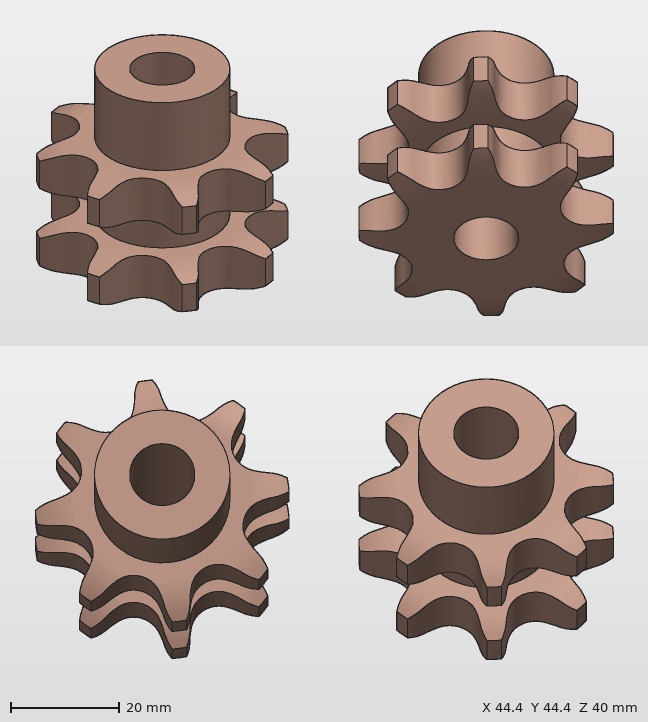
import cadquery as cq
import math

TOOTH_COUNT = 8
PITCH_DIAMETER = 41.5
ROLLER_DIAMETER = 10.15
SEAT_RADIUS = 5.15
TIP_DIAMETER = 47.0

DISC_THICKNESS = 9.0
DISC_SPACING = 16.5
DISC_BASES = (0, DISC_SPACING)

CROWN_RADIUS = 15.98
CROWN_DROP = 1.6

HUB_DIAMETER = 25.0
HUB_HEIGHT = 40.0
BORE_DIAMETER = 12.0

SEAT_ANGLE = 35 + 60 / TOOTH_COUNT
FLANK_SWEEP = 18 - 56 / TOOTH_COUNT
TIP_ANGLE = 17 - 64 / TOOTH_COUNT
FLANK_CENTER_RATIO = 0.8
TIP_CENTER_RATIO = 1.4

PITCH_RADIUS = PITCH_DIAMETER / 2
TIP_RADIUS = TIP_DIAMETER / 2
CUT_RADIUS = TIP_RADIUS + 0.45


def sin_deg(angle):
    return math.sin(math.radians(angle))


def cos_deg(angle):
    return math.cos(math.radians(angle))


def offset(point, distance, angle):
    """Move a point by a distance in the direction of an angle."""
    return (point[0] + distance * cos_deg(angle), point[1] + distance * sin_deg(angle))


def mirrored(point):
    return (-point[0], point[1])


def tooth_gap():
    """Cutter for the gap centered on +Y: seat, concave flanks, short straights, convex tips."""
    seat_center = (0, PITCH_RADIUS)
    flank_offset = FLANK_CENTER_RATIO * ROLLER_DIAMETER
    tip_offset = TIP_CENTER_RATIO * ROLLER_DIAMETER
    flank_radius = SEAT_RADIUS + flank_offset
    straight_length = tip_offset * sin_deg(TIP_ANGLE) - flank_offset * sin_deg(FLANK_SWEEP)
    tip_arc_radius = (
        flank_offset * cos_deg(FLANK_SWEEP) + tip_offset * cos_deg(TIP_ANGLE) - flank_radius
    )

    seat_bottom = offset(seat_center, SEAT_RADIUS, -90)
    seat_end = offset(seat_center, SEAT_RADIUS, -SEAT_ANGLE)
    flank_center = offset(seat_center, flank_offset, 180 - SEAT_ANGLE)
    flank_middle = offset(flank_center, flank_radius, FLANK_SWEEP / 2 - SEAT_ANGLE)
    flank_normal = FLANK_SWEEP - SEAT_ANGLE
    flank_end = offset(flank_center, flank_radius, flank_normal)
    straight_end = offset(flank_end, straight_length, flank_normal + 90)

    tip_center = offset(straight_end, tip_arc_radius, flank_normal)
    center_distance = math.hypot(*tip_center)
    cos_at_tip_center = (center_distance**2 + tip_arc_radius**2 - CUT_RADIUS**2) / (
        2 * center_distance * tip_arc_radius
    )
    inward_angle = math.degrees(math.atan2(-tip_center[1], -tip_center[0])) + 360
    start_angle = flank_normal + 180
    end_angle = inward_angle - math.degrees(math.acos(cos_at_tip_center))
    tip_middle = offset(tip_center, tip_arc_radius, (start_angle + end_angle) / 2)
    tip_end = offset(tip_center, tip_arc_radius, end_angle)

    return (
        cq.Workplane("XY")
        .moveTo(*mirrored(tip_end))
        .threePointArc(mirrored(tip_middle), mirrored(straight_end))
        .lineTo(*mirrored(flank_end))
        .threePointArc(mirrored(flank_middle), mirrored(seat_end))
        .threePointArc(seat_bottom, seat_end)
        .threePointArc(flank_middle, flank_end)
        .lineTo(*straight_end)
        .threePointArc(tip_middle, tip_end)
        .threePointArc((0, CUT_RADIUS), mirrored(tip_end))
        .close()
        .extrude(DISC_THICKNESS)
    )


def disc_blank():
    """Disc whose two faces round off tangentially towards the rim."""
    crown_width = math.sqrt(CROWN_RADIUS**2 - (CROWN_RADIUS - CROWN_DROP) ** 2)
    flat_radius = TIP_RADIUS - crown_width
    half_angle = math.degrees(math.asin(crown_width / CROWN_RADIUS)) / 2
    lower_middle = offset((flat_radius, CROWN_RADIUS), CROWN_RADIUS, half_angle - 90)
    upper_middle = (lower_middle[0], DISC_THICKNESS - lower_middle[1])
    return (
        cq.Workplane("XZ")
        .lineTo(flat_radius, 0)
        .threePointArc(lower_middle, (TIP_RADIUS, CROWN_DROP))
        .lineTo(TIP_RADIUS, DISC_THICKNESS - CROWN_DROP)
        .threePointArc(upper_middle, (flat_radius, DISC_THICKNESS))
        .lineTo(0, DISC_THICKNESS)
        .close()
        .revolve(360, (0, 0, 0), (0, 1, 0))
    )


def toothed_disc():
    disc = disc_blank()
    gap = tooth_gap()
    for index in range(TOOTH_COUNT):
        disc = disc.cut(gap.rotate((0, 0, 0), (0, 0, 1), index * 360 / TOOTH_COUNT))
    return disc


result = cq.Workplane("XY").circle(HUB_DIAMETER / 2).extrude(HUB_HEIGHT)
disc = toothed_disc()
for base in DISC_BASES:
    result = result.union(disc.translate((0, 0, base)))
bore = cq.Workplane("XY").circle(BORE_DIAMETER / 2).extrude(HUB_HEIGHT)
result = result.cut(bore)